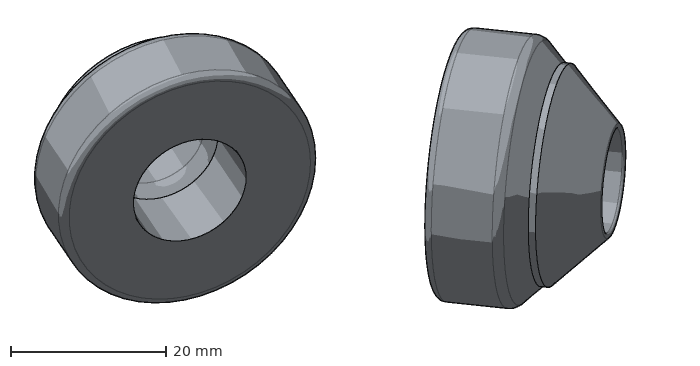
import cadquery as cq
import math


length = 21.23
housing_radius = 17.75
front_round = 1.95
back_round = 1.05
front_round_end = 12.15
housing_bore_radius = 15.6 / 2

nose_bore_radius = 6.8
lip_round = 0.4
cone_end = 7.15
band_end = 8.1
bore_end = 8.95


def revolve_about_x(profile):
    return profile.close().revolve(360, (0, 0, 0), (1, 0, 0))


def arc_point(center, radius, degrees):
    angle = math.radians(degrees)
    return (center[0] + radius * math.cos(angle), center[1] + radius * math.sin(angle))


front_center = (front_round_end, housing_radius - front_round)
front_tangent = arc_point(front_center, front_round, 135)
seat_radius = front_tangent[1] - (front_tangent[0] - band_end)

lip_center = (lip_round, nose_bore_radius + lip_round)
lip_tangent = arc_point(lip_center, lip_round, 135)
cone_end_radius = lip_tangent[1] + cone_end - lip_tangent[0]

flare_round = (housing_bore_radius - nose_bore_radius) / (1 - math.cos(math.radians(45)))
flare_center = (bore_end, nose_bore_radius + flare_round)
flare_tangent = arc_point(flare_center, flare_round, -45)


def make_nose():
    """Conical nose with a rounded lip, an outer band and a flared bore, seated in the housing."""
    return revolve_about_x(
        cq.Workplane("XY")
        .moveTo(*lip_tangent)
        .lineTo(cone_end, cone_end_radius)
        .lineTo(band_end, seat_radius)
        .lineTo(band_end, housing_bore_radius)
        .lineTo(*flare_tangent)
        .threePointArc(arc_point(flare_center, flare_round, -67.5), (bore_end, nose_bore_radius))
        .lineTo(lip_round, nose_bore_radius)
        .threePointArc(arc_point(lip_center, lip_round, 202.5), lip_tangent)
    )


def make_housing():
    """Cylindrical ring with a conical front, rounded outer edges and a straight bore."""
    back_center = (length - back_round, housing_radius - back_round)
    return revolve_about_x(
        cq.Workplane("XY")
        .moveTo(band_end, housing_bore_radius)
        .lineTo(band_end, seat_radius)
        .lineTo(*front_tangent)
        .threePointArc(arc_point(front_center, front_round, 112.5), (front_round_end, housing_radius))
        .lineTo(length - back_round, housing_radius)
        .threePointArc(arc_point(back_center, back_round, 45), (length, housing_radius - back_round))
        .lineTo(length, housing_bore_radius)
    )


nose = make_nose()
housing = make_housing()
result = cq.Compound.makeCompound([nose.val(), housing.val()])